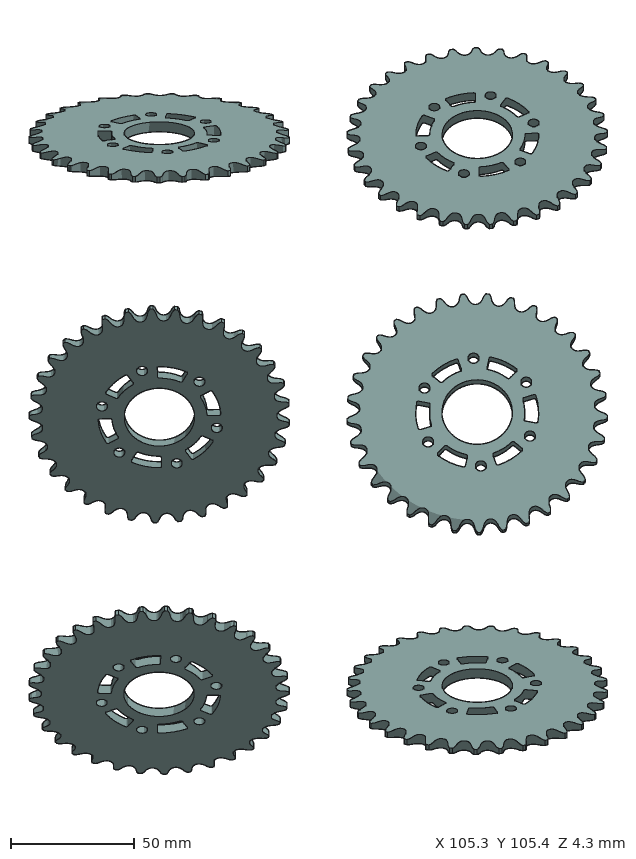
import cadquery as cq
import math

tooth_count = 33
thickness = 4.3
overall_height = 105.4
tip_land_half_angle = 0.67
roller_to_pitch = 0.2 / 0.375
clearance_to_pitch = 0.003 / 0.375

bevel_radius = 48.0
tip_thickness = 2.4
rim_margin = 1.1

bore_radius = 14.2
bolt_count = 6
bolt_circle_radius = 23.8
bolt_hole_diameter = 4.4
slot_inner_radius = 19.3
slot_outer_radius = 24.9
slot_half_angle = 15.0
slot_corner_radius = 0.7


def polar(radius, degrees):
    angle = math.radians(degrees)
    return (radius * math.cos(angle), radius * math.sin(angle))


def turned(point, degrees):
    """Rotate an XY point about the origin."""
    angle = math.radians(degrees)
    return (
        point[0] * math.cos(angle) - point[1] * math.sin(angle),
        point[0] * math.sin(angle) + point[1] * math.cos(angle),
    )


def mirrored(point):
    """Reflect an XY point across the X axis."""
    return (point[0], -point[1])


def offset_from(center, radius, degrees):
    """Point at a radius from a center, the angle rising from +Y toward +X."""
    across, outward = polar(radius, degrees)
    return (center[0] + outward, center[1] + across)


def tangent_arc_middle(start, start_direction, end):
    """Middle of the arc from start to end that leaves along a direction given as in offset_from."""
    across = end[1] - start[1]
    outward = end[0] - start[0]
    chord_direction = math.degrees(math.atan2(outward, across))
    half_turn = (chord_direction - start_direction) / 2
    half_chord = math.hypot(across, outward) / 2
    return offset_from(start, half_chord / math.cos(math.radians(half_turn)), start_direction + half_turn)


pitch_angle = 360 / tooth_count
half_pitch_angle = pitch_angle / 2

highest_corner_angle = pitch_angle / 4 - tip_land_half_angle
tip_radius = overall_height / 2 / math.cos(math.radians(highest_corner_angle))

chain_pitch = 2 * tip_radius / (0.6 + 1 / math.tan(math.radians(half_pitch_angle)))
pitch_radius = chain_pitch / 2 / math.sin(math.radians(half_pitch_angle))
roller_diameter = roller_to_pitch * chain_pitch
clearance = clearance_to_pitch * chain_pitch

seat_center = (pitch_radius, 0)
seat_radius = (1.005 * roller_diameter + clearance) / 2
seat_angle = 35 + 60 / tooth_count
seat_bottom = (pitch_radius - seat_radius, 0)
seat_end = offset_from(seat_center, seat_radius, -seat_angle)

working_offset = 0.8 * roller_diameter
working_radius = working_offset + seat_radius
working_sweep = 18 - 56 / tooth_count
working_center = offset_from(seat_center, working_offset, 180 - seat_angle)
working_middle = offset_from(working_center, working_radius, working_sweep / 2 - seat_angle)
flat_lean = seat_angle - working_sweep
flat_start = offset_from(working_center, working_radius, -flat_lean)

flat_length = roller_diameter * (
    1.4 * math.sin(math.radians(17 - 64 / tooth_count))
    - 0.8 * math.sin(math.radians(working_sweep))
)
flat_end = offset_from(flat_start, flat_length, 90 - flat_lean)

tip_corner = polar(tip_radius, half_pitch_angle - tip_land_half_angle)
topping_middle = tangent_arc_middle(flat_end, 90 - flat_lean, tip_corner)


def toothed_plate():
    outline = cq.Workplane("XY").workplane(offset=-thickness / 2)
    outline = outline.moveTo(*mirrored(tip_corner))
    for index in range(tooth_count):
        turn = index * pitch_angle
        outline = (
            outline
            .threePointArc(turned(mirrored(topping_middle), turn), turned(mirrored(flat_end), turn))
            .lineTo(*turned(mirrored(flat_start), turn))
            .threePointArc(turned(mirrored(working_middle), turn), turned(mirrored(seat_end), turn))
            .threePointArc(turned(seat_bottom, turn), turned(seat_end, turn))
            .threePointArc(turned(working_middle, turn), turned(flat_start, turn))
            .lineTo(*turned(flat_end, turn))
            .threePointArc(turned(topping_middle, turn), turned(tip_corner, turn))
            .threePointArc(
                polar(tip_radius, turn + half_pitch_angle),
                turned(mirrored(tip_corner), turn + pitch_angle),
            )
        )
    return outline.close().extrude(thickness)


def bevel_envelope():
    """Disc with conical rims that thins the teeth toward their tips."""
    slope = (thickness - tip_thickness) / 2 / (tip_radius - bevel_radius)
    rim_radius = tip_radius + rim_margin
    rim_half = thickness / 2 - slope * (rim_radius - bevel_radius)
    section = [
        (0, -thickness / 2),
        (bevel_radius, -thickness / 2),
        (rim_radius, -rim_half),
        (rim_radius, rim_half),
        (bevel_radius, thickness / 2),
        (0, thickness / 2),
    ]
    return cq.Workplane("XZ").polyline(section).close().revolve(360, (0, 0), (0, 1))


def lightening_slot(center_angle):
    start = center_angle - slot_half_angle
    end = center_angle + slot_half_angle
    return (
        cq.Workplane("XY").workplane(offset=-thickness / 2)
        .moveTo(*polar(slot_inner_radius, start))
        .lineTo(*polar(slot_outer_radius, start))
        .threePointArc(polar(slot_outer_radius, center_angle), polar(slot_outer_radius, end))
        .lineTo(*polar(slot_inner_radius, end))
        .threePointArc(polar(slot_inner_radius, center_angle), polar(slot_inner_radius, start))
        .close()
        .extrude(thickness)
        .edges("|Z")
        .fillet(slot_corner_radius)
    )


sprocket = toothed_plate().intersect(bevel_envelope())
sprocket = sprocket.cut(cq.Workplane("XY").circle(bore_radius).extrude(thickness, both=True))

bolt_step = 360 / bolt_count
bolt_holes = (
    cq.Workplane("XY")
    .polarArray(bolt_circle_radius, bolt_step / 2, 360, bolt_count)
    .circle(bolt_hole_diameter / 2)
    .extrude(thickness, both=True)
)
sprocket = sprocket.cut(bolt_holes)
for slot_index in range(bolt_count):
    sprocket = sprocket.cut(lightening_slot(slot_index * bolt_step))

result = sprocket